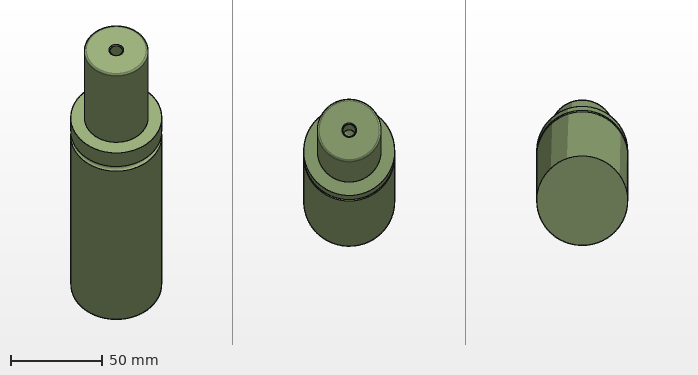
import cadquery as cq
import math

total_length = 205.0
body_diameter = 50.0
rod_diameter = 35.0
rod_length = 59.0
rod_fillet = 1.0
groove_radius = 2.0
groove_center_below_shoulder = 14.0
mouth_diameter = 8.0
hole_depth = 16.5
hole_chamfer = 0.6
drill_point_angle = 118.0

body_radius = body_diameter / 2
mouth_radius = mouth_diameter / 2
bore_radius = mouth_radius - hole_chamfer
shoulder_height = total_length - rod_length
groove_height = shoulder_height - groove_center_below_shoulder


def make_body():
    """Cylindrical body standing on the XY plane."""
    return cq.Workplane("XY").circle(body_radius).extrude(shoulder_height)


def make_rod():
    """Smaller rod above the shoulder, with a rounded tip edge."""
    rod = cq.Workplane("XY").workplane(offset=shoulder_height).circle(rod_diameter / 2).extrude(rod_length)
    return rod.faces(">Z").edges().fillet(rod_fillet)


def make_groove():
    """Ring that cuts a half-round groove around the body."""
    return cq.Workplane("XZ").center(body_radius, groove_height).circle(groove_radius).revolve(
        360, (-body_radius, 0), (-body_radius, 1)
    )


def make_hole():
    """Blind axial hole with a chamfered mouth, ending in a drill point."""
    point_depth = bore_radius / math.tan(math.radians(drill_point_angle / 2))
    hole_bottom = total_length - hole_depth
    return (
        cq.Workplane("XZ")
        .moveTo(0, total_length)
        .lineTo(mouth_radius, total_length)
        .lineTo(bore_radius, total_length - hole_chamfer)
        .lineTo(bore_radius, hole_bottom)
        .lineTo(0, hole_bottom - point_depth)
        .close()
        .revolve(360, (0, 0), (0, 1))
    )


result = make_body().union(make_rod()).cut(make_groove()).cut(make_hole())